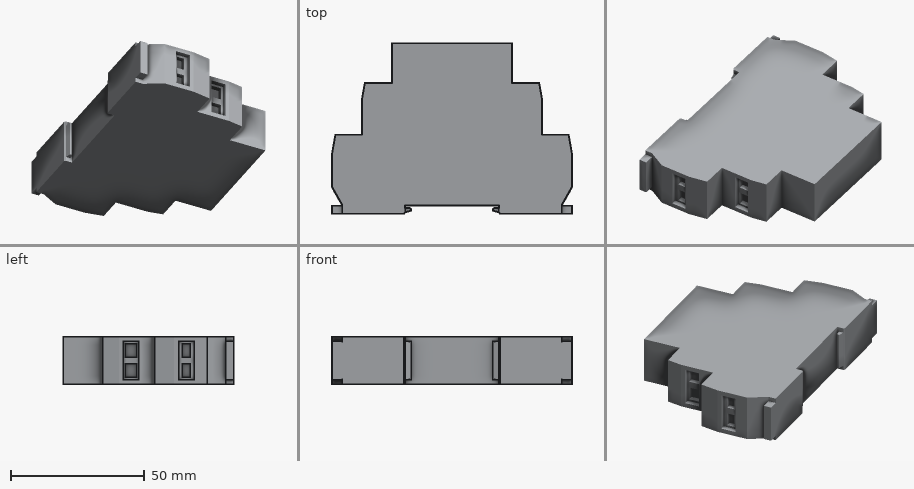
import cadquery as cq
import math

half_width = 45.0
depth = 64.0
height = 17.9

middle_half_width = 33.75
top_half_width = 22.5
middle_step_y = 49.05
lower_step_y = 29.7

taper_angle = math.radians(10)
middle_taper_length = 6.0
lower_taper_length = 7.3
middle_taper_width = middle_taper_length * math.tan(taper_angle)
lower_taper_width = lower_taper_length * math.tan(taper_angle)

foot_width = 4.0
foot_depth = 3.1
slope_top_y = 10.1

channel_half_width = 17.55
channel_depth = foot_depth
channel_bevel = 0.5

side_inset = 1.8
inset_height = height - 2 * side_inset

clip_reach = 2.25
clip_top_y = 2.25
clip_tip_top_y = 1.8
clip_tip_bottom_y = 1.2
clip_root_bottom_y = channel_bevel
clip_top_bevel = 0.6

window_width = 5.85
window_depth = 2.0
middle_window_y = 38.5
lower_window_y = 17.8
middle_opening_width = 4.2
lower_opening_width = 3.1
opening_height = 5.0
opening_depth = 2.0
opening_offset = 3.8

overlap = 0.9


def mirrored(solid):
    return solid.union(solid.mirror("YZ"))


def extruded(points, bottom_z, length):
    return cq.Workplane("XY").workplane(offset=bottom_z).polyline(points).close().extrude(length)


def box(x_min, x_max, y_min, y_max, z_min, z_max):
    size = (x_max - x_min, y_max - y_min, z_max - z_min)
    return cq.Workplane("XY").box(*size, centered=False).translate((x_min, y_min, z_min))


def housing():
    right_outline = [
        (0, channel_depth),
        (channel_half_width, channel_depth),
        (channel_half_width, channel_bevel),
        (channel_half_width + channel_bevel, 0),
        (half_width - foot_width, 0),
        (half_width - foot_width, foot_depth),
        (half_width, slope_top_y),
        (half_width, lower_step_y - lower_taper_length),
        (half_width - lower_taper_width, lower_step_y),
        (middle_half_width, lower_step_y),
        (middle_half_width, middle_step_y - middle_taper_length),
        (middle_half_width - middle_taper_width, middle_step_y),
        (top_half_width, middle_step_y),
        (top_half_width, depth),
        (0, depth),
    ]
    return mirrored(extruded(right_outline, 0, height))


def feet():
    inner_x = half_width - foot_width - overlap
    return mirrored(box(inner_x, half_width, 0, foot_depth, side_inset, height - side_inset))


def clips():
    tip_x = channel_half_width - clip_reach
    root_x = channel_half_width + overlap
    outline = [
        (root_x, clip_top_y),
        (tip_x + clip_top_bevel, clip_top_y),
        (tip_x, clip_tip_top_y),
        (tip_x, clip_tip_bottom_y),
        (channel_half_width, clip_root_bottom_y),
        (root_x, clip_root_bottom_y),
    ]
    return mirrored(extruded(outline, side_inset, inset_height))


def terminals(face_x, center_y, opening_width):
    """Window recessed into the side face at face_x, with one wire opening above the other."""
    floor_x = face_x - window_depth
    y_min = center_y - window_width / 2
    cutter = box(floor_x, face_x, y_min, y_min + window_width, side_inset, height - side_inset)
    opening_y = center_y - opening_width / 2
    for direction in (-1, 1):
        opening_z = height / 2 + direction * opening_offset - opening_height / 2
        cutter = cutter.union(
            box(
                floor_x - opening_depth, floor_x,
                opening_y, opening_y + opening_width,
                opening_z, opening_z + opening_height,
            )
        )
    return mirrored(cutter)


result = housing().union(feet()).union(clips())
result = result.cut(terminals(middle_half_width, middle_window_y, middle_opening_width))
result = result.cut(terminals(half_width, lower_window_y, lower_opening_width))